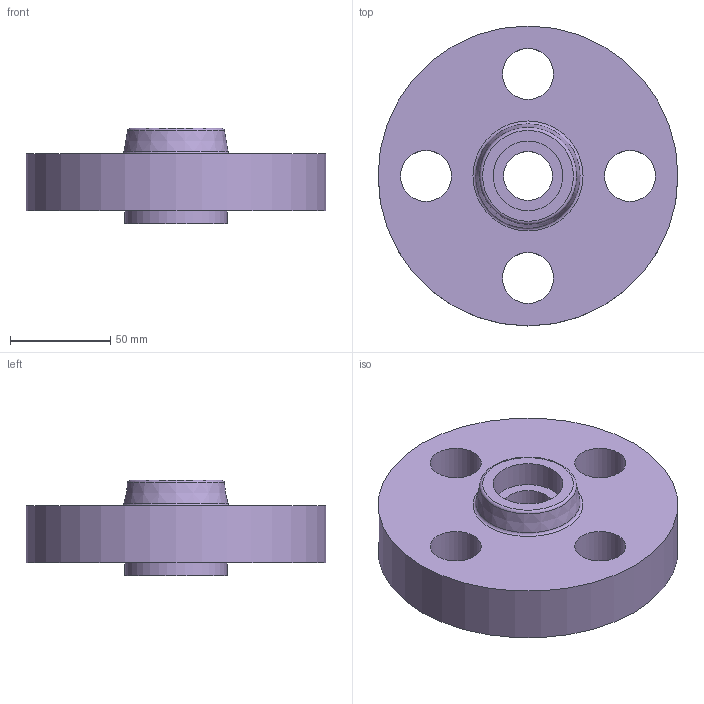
import cadquery as cq
import math

flange_diameter = 149.35
flange_thickness = 28.45

raised_face_diameter = 50.8
raised_face_height = 6.35

hub_base_diameter = 52.3
hub_height = 12.7
hub_draft_angle = 10.0
hub_fillet_radius = 1.5

bore_diameter = 24.3
socket_diameter = 34.7
socket_depth = 12.7

bolt_count = 4
bolt_circle_diameter = 101.6
bolt_hole_diameter = 25.4

flange_top = raised_face_height + flange_thickness
hub_top = flange_top + hub_height
hub_base_radius = hub_base_diameter / 2
hub_top_radius = hub_base_radius - hub_height * math.tan(math.radians(hub_draft_angle))


def revolved_body():
    """Raised face, flange disc and tapered hub as one solid of revolution."""
    profile = [
        (0, 0),
        (raised_face_diameter / 2, 0),
        (raised_face_diameter / 2, raised_face_height),
        (flange_diameter / 2, raised_face_height),
        (flange_diameter / 2, flange_top),
        (hub_base_radius, flange_top),
        (hub_top_radius, hub_top),
        (0, hub_top),
    ]
    return cq.Workplane("XZ").polyline(profile).close().revolve(360, (0, 0), (0, 1))


def round_hub(body):
    """Round the hub's top rim and blend its foot into the flange."""
    hub_edges = body.faces("%CONE").edges("%CIRCLE")
    return hub_edges.fillet(hub_fillet_radius)


def cylinder(diameter, bottom, top):
    """Cylinder on the part axis between two Z levels."""
    return cq.Workplane("XY", origin=(0, 0, bottom)).circle(diameter / 2).extrude(top - bottom)


def bolt_holes():
    """Through-hole cutters spaced evenly on the bolt circle, starting on +X."""
    return (
        cq.Workplane("XY")
        .polarArray(bolt_circle_diameter / 2, 0, 360, bolt_count)
        .circle(bolt_hole_diameter / 2)
        .extrude(flange_top)
    )


bore = cylinder(bore_diameter, 0, hub_top)
socket = cylinder(socket_diameter, hub_top - socket_depth, hub_top)

result = round_hub(revolved_body()).cut(bore).cut(socket).cut(bolt_holes())